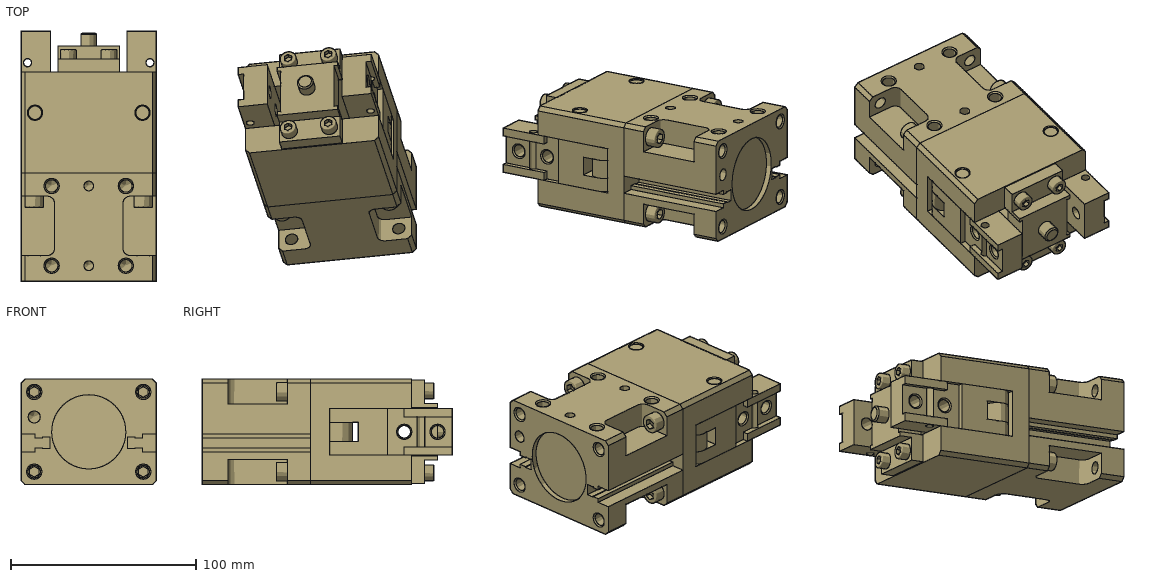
import cadquery as cq
import math


width = 73.0
height = 57.0
edge_chamfer = 2.2
cylinder_length = 58.5
head_end = 113.0
side_x = width / 2
top_z = height / 2

bore_diameter = 40.0
bore_recess_depth = 3.0
pocket_start = 14.0
pocket_end = 46.0
pocket_inner_x = 18.4
pocket_floor_z = 14.9
pocket_corner_radius = 4.0
flange_bolt_x = 29.4
flange_bolt_z = 21.5
port_z = 8.0
port_diameter = 6.5
port_depth = 12.0
mount_hole_x = 20.0
mount_hole_y = (8.5, 51.5)
mount_hole_depth = 12.0
dowel_hole_diameter = 5.2
dowel_hole_depth = 8.0
drill_tip_angle = 118.0

thread_core_diameter = 6.7
countersink_diameter = 8.2

groove_z = -6.0
groove_mouth_x = 29.0
groove_neck_x = 25.0
groove_inner_x = 21.0
groove_mouth_half = 4.9
groove_neck_half = 2.7
groove_inner_half = 3.1

flange_screw_diameter = 10.0
flange_screw_height = 6.0
flange_screw_socket = 5.0
cover_screw_diameter = 8.6
cover_screw_height = 5.0
cover_screw_socket = 4.0
screw_edge_radius = 0.5

pivot_x = 29.0
pivot_y = 91.0
pivot_recess_diameter = 8.2
pivot_recess_chamfer = 0.5
pivot_recess_depth = 0.7

jaw_end = 135.0
jaw_half_height = 12.6
jaw_inner_x = 20.5
jaw_recess_depth = 3.0
jaw_recess_start = 100.0
rail_start = 109.0
rail_inner_z = 8.1
jaw_screw_y = (109.0, 127.0)
jaw_pin_hole_x = 33.0
jaw_pin_hole_y = 118.0
jaw_pin_hole_diameter = 4.2
fork_half_height = 5.1
fork_end = 84.2

crosshead_radius = 6.2
crosshead_y = 75.0
slot_start = crosshead_y - crosshead_radius

cover_thickness = 7.0
cover_half_width = 16.6
cover_half_height = 28.0
cover_plate_end = head_end + cover_thickness
cover_step_end = cover_plate_end + cover_thickness
cover_step_z = 15.3
cover_relief_z = 13.0
cover_relief_depth = 2.0
cover_screw_x = 11.0
cover_screw_z = 22.1
stud_diameter = 8.6
stud_length = 7.0
stud_chamfer = 0.8


def box(x_range, y_range, z_range):
    """Box between two limits on each axis."""
    (x0, x1), (y0, y1), (z0, z1) = x_range, y_range, z_range
    return cq.Workplane("XY").box(x1 - x0, y1 - y0, z1 - z0, centered=False).translate((x0, y0, z0))


def mirrored(shape):
    """Mirror image of a shape across x = 0."""
    return shape.mirror("YZ")


def revolved(profile, start, direction):
    """Solid of revolution: (radius, distance) profile spun around an axis from start along direction."""
    solid = cq.Workplane("XZ").polyline(profile).close().revolve(360, (0, 0, 0), (0, 1, 0)).val()
    plane = cq.Plane(origin=start, normal=direction)
    return cq.Workplane(solid.moved(cq.Location(plane)))


def drill(start, direction, diameter, depth, rim_diameter=None, pointed=True):
    """Hole cutter with an optional 45 degree countersink and an optional drill point."""
    radius = diameter / 2
    profile = [(0, 0)]
    if rim_diameter:
        rim_radius = rim_diameter / 2
        profile += [(rim_radius, 0), (radius, rim_radius - radius)]
    else:
        profile += [(radius, 0)]
    profile += [(radius, depth)]
    tip = radius / math.tan(math.radians(drill_tip_angle / 2)) if pointed else 0
    profile += [(0, depth + tip)]
    return revolved(profile, start, direction)


def cap_screw_head(seat, direction_y, diameter, head_height, socket_width):
    """Cap screw head standing on its seat along Y, with a hexagon socket in its outer end."""
    plane = cq.Plane(origin=seat, xDir=(0, 0, 1), normal=(0, direction_y, 0))
    head = cq.Workplane(plane).circle(diameter / 2).extrude(head_height)
    end_face = ">Y" if direction_y > 0 else "<Y"
    head = head.faces(end_face).edges().fillet(screw_edge_radius)
    socket_corners = socket_width / math.cos(math.radians(30))
    socket = (
        cq.Workplane(plane)
        .workplane(offset=head_height / 2)
        .polygon(6, socket_corners)
        .extrude(head_height)
    )
    return head.cut(socket)


def chamfered_block(y0, y1):
    """Length of the main block section, with its four long edges chamfered."""
    block = box((-side_x, side_x), (y0, y1), (-top_z, top_z))
    return block.edges("|Y").chamfer(edge_chamfer)


def flange_pocket():
    """Pocket at the upper left edge that gives room for one flange screw."""
    overrun = 2 * pocket_corner_radius
    pocket = box(
        (-side_x - overrun, -pocket_inner_x),
        (pocket_start, pocket_end),
        (pocket_floor_z, top_z + overrun),
    )
    return pocket.edges("|Z and >X").fillet(pocket_corner_radius)


def side_groove():
    """Stepped groove along the whole left side of the cylinder block."""
    steps = [
        (side_x, groove_mouth_x, groove_mouth_half),
        (groove_mouth_x, groove_neck_x, groove_neck_half),
        (groove_neck_x, groove_inner_x, groove_inner_half),
    ]
    groove = None
    for outer_x, inner_x, half in steps:
        step = box((-outer_x, -inner_x), (0, cylinder_length), (groove_z - half, groove_z + half))
        groove = step if groove is None else groove.union(step)
    return groove


def make_cylinder():
    """Cylinder block together with its four flange screws."""
    body = chamfered_block(0, cylinder_length)

    recess = drill((0, 0, 0), (0, 1, 0), bore_diameter, bore_recess_depth, pointed=False)
    port = drill((-flange_bolt_x, 0, port_z), (0, 1, 0), port_diameter, port_depth)
    body = body.cut(recess).cut(port)

    pocket = flange_pocket()
    groove = side_groove()
    for cutter in (pocket, pocket.mirror("XY"), groove):
        body = body.cut(cutter).cut(mirrored(cutter))

    for y in mount_hole_y:
        dowel_hole = drill((0, y, top_z), (0, 0, -1), dowel_hole_diameter, dowel_hole_depth)
        body = body.cut(dowel_hole)
        for x in (-mount_hole_x, mount_hole_x):
            hole = drill(
                (x, y, top_z), (0, 0, -1), thread_core_diameter, mount_hole_depth, countersink_diameter
            )
            body = body.cut(hole)

    for x in (-flange_bolt_x, flange_bolt_x):
        for z in (-flange_bolt_z, flange_bolt_z):
            access = drill(
                (x, 0, z), (0, 1, 0), thread_core_diameter, pocket_start, countersink_diameter, pointed=False
            )
            screw = cap_screw_head(
                (x, pocket_end, z), -1, flange_screw_diameter, flange_screw_height, flange_screw_socket
            )
            body = body.cut(access).union(screw)
    return body


def make_head():
    """Head block with a slot across its full width for the jaws and the crosshead."""
    head = chamfered_block(cylinder_length, head_end)
    slot = box((-side_x, side_x), (slot_start, head_end), (-jaw_half_height, jaw_half_height))
    head = head.cut(slot)
    floor_diameter = pivot_recess_diameter - 2 * pivot_recess_chamfer
    for x in (-pivot_x, pivot_x):
        recess = drill(
            (x, pivot_y, top_z),
            (0, 0, -1),
            floor_diameter,
            pivot_recess_depth,
            pivot_recess_diameter,
            pointed=False,
        )
        head = head.cut(recess)
    return head


def make_crosshead():
    """Bar with round ends that reaches into the forks of both jaws."""
    return (
        cq.Workplane("XY")
        .center(0, crosshead_y)
        .slot2D(width, 2 * crosshead_radius)
        .extrude(fork_half_height, both=True)
    )


def make_jaw():
    """Left jaw: forked round heel, recessed mounting face with two rails, screw and pin holes."""
    jaw = box((-side_x, -jaw_inner_x), (slot_start, jaw_end), (-jaw_half_height, jaw_half_height))
    jaw = jaw.edges("|Z and <X and <Y").fillet(crosshead_radius)

    fork = box((-side_x, -jaw_inner_x), (slot_start, fork_end), (-fork_half_height, fork_half_height))
    jaw = jaw.cut(fork)

    face_x = -side_x + jaw_recess_depth
    between_rails = box((-side_x, face_x), (rail_start, jaw_end), (-rail_inner_z, rail_inner_z))
    behind_rails = box(
        (-side_x, face_x), (jaw_recess_start, rail_start), (-jaw_half_height, jaw_half_height)
    )
    jaw = jaw.cut(between_rails).cut(behind_rails)

    for y in jaw_screw_y:
        hole = drill(
            (face_x, y, 0), (1, 0, 0), thread_core_diameter, side_x, countersink_diameter, pointed=False
        )
        jaw = jaw.cut(hole)

    pin_hole = drill(
        (-jaw_pin_hole_x, jaw_pin_hole_y, jaw_half_height),
        (0, 0, -1),
        jaw_pin_hole_diameter,
        2 * jaw_half_height,
        pointed=False,
    )
    return jaw.cut(pin_hole)


def make_cover():
    """Stepped rear cover with four screws, a central stud and side reliefs next to the jaws."""
    x_range = (-cover_half_width, cover_half_width)
    plate = box(x_range, (head_end, cover_plate_end), (-cover_half_height, cover_half_height))
    step = box(x_range, (cover_plate_end, cover_step_end), (-cover_step_z, cover_step_z))
    cover = plate.union(step)

    relief = box(
        (-cover_half_width, -cover_half_width + cover_relief_depth),
        (head_end, cover_step_end),
        (-cover_relief_z, cover_relief_z),
    )
    cover = cover.cut(relief).cut(mirrored(relief))

    for x in (-cover_screw_x, cover_screw_x):
        for z in (-cover_screw_z, cover_screw_z):
            screw = cap_screw_head(
                (x, cover_plate_end, z), 1, cover_screw_diameter, cover_screw_height, cover_screw_socket
            )
            cover = cover.union(screw)

    stud_plane = cq.Plane(origin=(0, cover_step_end, 0), xDir=(0, 0, 1), normal=(0, 1, 0))
    stud = cq.Workplane(stud_plane).circle(stud_diameter / 2).extrude(stud_length)
    stud = stud.faces(">Y").chamfer(stud_chamfer)
    return cover.union(stud)


cylinder = make_cylinder()
head = make_head()
cover = make_cover()
crosshead = make_crosshead()
left_jaw = make_jaw()
right_jaw = mirrored(left_jaw)

result = cq.Compound.makeCompound(
    [cylinder.val(), head.val(), cover.val(), crosshead.val(), left_jaw.val(), right_jaw.val()]
)